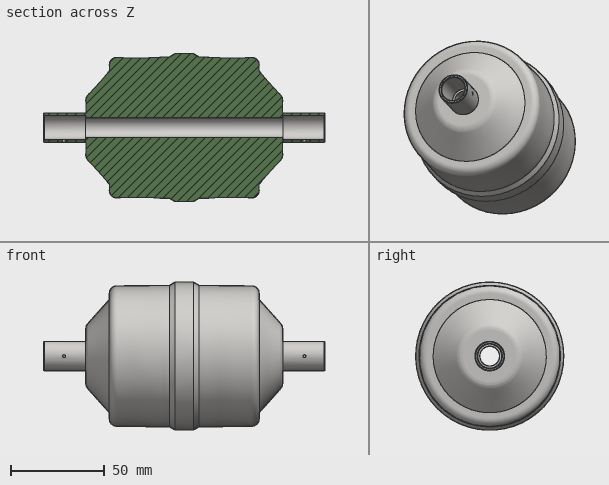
import cadquery as cq
import math

tube_end_x = 75.0
nose_face_x = 52.6
shoulder_x = 40.0
band_outer_x = 11.1
bead_foot_x = 7.9
bead_crest_x = 4.8
vent_x = 64.1

tube_radius = 15.8 / 2
socket_radius = 12.8 / 2
bore_radius = 10.4 / 2
nose_flat_radius = 14.2
cone_base_radius = 30.2
shoulder_flat_radius = 33.5
shell_end_radius = 37.5
band_radius = 75.5 / 2
bead_radius = 79.1 / 2
vent_radius = 0.75

nose_round = 5.0
tube_chamfer = 0.35

socket_depth = tube_end_x - nose_face_x


def revolve_about_x(profile):
    return profile.close().revolve(360, (0, 0, 0), (1, 0, 0))


def cone_normal_angle():
    """Angle between the X axis and the normal of the nose cone.

    The cone line runs from its base on the shoulder and touches the nose
    round, whose centre lies behind the edge of the flat nose.
    """
    run = nose_face_x - nose_round - shoulder_x
    rise = cone_base_radius - nose_flat_radius
    distance = math.hypot(run, rise)
    return math.pi - math.atan2(rise, run) - math.acos(nose_round / distance)


def arc_point(centre_x, centre_radius, arc_radius, angle):
    """Point of a profile arc at the given angle from the X axis."""
    return (
        centre_x + arc_radius * math.cos(angle),
        centre_radius + arc_radius * math.sin(angle),
    )


def make_end():
    """The +X end of the body, from the crest of the bead to the tube end."""
    shoulder_round = shell_end_radius - shoulder_flat_radius
    shoulder_arc = (shoulder_x - shoulder_round, shoulder_flat_radius, shoulder_round)
    nose_arc = (nose_face_x - nose_round, nose_flat_radius, nose_round)
    cone_angle = cone_normal_angle()
    return revolve_about_x(
        cq.Workplane("XZ")
        .moveTo(bead_crest_x, 0)
        .lineTo(bead_crest_x, bead_radius)
        .lineTo(bead_foot_x, band_radius)
        .lineTo(band_outer_x, band_radius)
        .lineTo(*arc_point(*shoulder_arc, math.pi / 2))
        .threePointArc(arc_point(*shoulder_arc, math.pi / 4), arc_point(*shoulder_arc, 0))
        .lineTo(shoulder_x, cone_base_radius)
        .lineTo(*arc_point(*nose_arc, cone_angle))
        .threePointArc(arc_point(*nose_arc, cone_angle / 2), arc_point(*nose_arc, 0))
        .lineTo(nose_face_x, tube_radius)
        .lineTo(tube_end_x - tube_chamfer, tube_radius)
        .lineTo(tube_end_x, tube_radius - tube_chamfer)
        .lineTo(tube_end_x, 0)
    )


def make_socket():
    """Pipe socket in the +X tube, with a chamfered mouth."""
    socket_floor_x = tube_end_x - socket_depth
    return revolve_about_x(
        cq.Workplane("XZ")
        .moveTo(socket_floor_x, 0)
        .lineTo(socket_floor_x, socket_radius)
        .lineTo(tube_end_x - tube_chamfer, socket_radius)
        .lineTo(tube_end_x, socket_radius + tube_chamfer)
        .lineTo(tube_end_x, 0)
    )


def make_vent():
    """Small radial hole through the -Y side of the +X tube wall."""
    return cq.Workplane("XZ").center(vent_x, 0).circle(vent_radius).extrude(tube_radius)


def make_x_cylinder(radius, half_length):
    """Cylinder along X, centred on the mid plane."""
    return cq.Workplane("YZ", origin=(-half_length, 0, 0)).circle(radius).extrude(2 * half_length)


def add_both_ends(body, end):
    return body.union(end).union(end.mirror("YZ"))


bead_crest = make_x_cylinder(bead_radius, bead_crest_x)
through_bore = make_x_cylinder(bore_radius, tube_end_x)
hollow_end = make_end().cut(make_socket()).cut(make_vent())

result = add_both_ends(bead_crest, hollow_end).cut(through_bore)